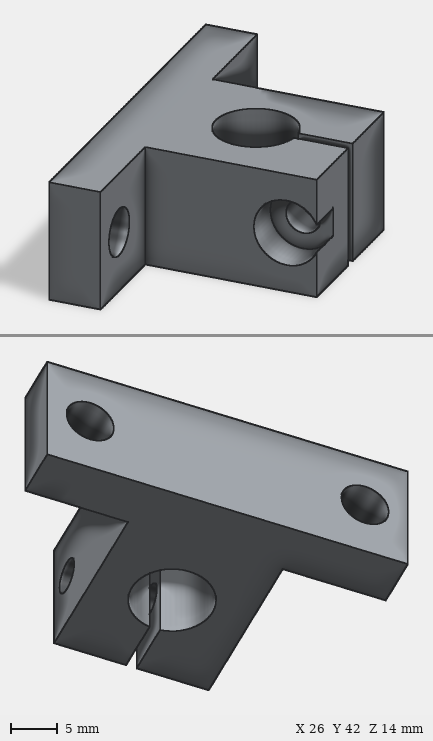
import cadquery as cq

base_length = 42.0
base_thickness = 6.0
height = 14.0
total_depth = 26.0
block_width = 18.0
bore_diameter = 9.4
bore_x = 15.0
slit_width = 1.2
mount_hole_diameter = 5.5
mount_hole_spacing = 32.0
clamp_hole_diameter = 4.0
clamp_x = 22.5
counterbore_diameter = 7.7
counterbore_depth = 4.4

mid_height = height / 2


def box(x_start, x_end, width):
    """Full-height box centred on Y = 0."""
    length = x_end - x_start
    return cq.Workplane("XY").box(length, width, height, centered=(False, True, False)).translate((x_start, 0, 0))


def clamp_cylinder(diameter, length):
    """Cylinder on the clamp screw axis, running inward from the -Y side of the block."""
    return (
        cq.Workplane("XZ", origin=(clamp_x, -block_width / 2, mid_height))
        .circle(diameter / 2)
        .extrude(-length)
    )


body = box(0, base_thickness, base_length).union(box(0, total_depth, block_width))

bore = cq.Workplane("XY").center(bore_x, 0).circle(bore_diameter / 2).extrude(height)
body = body.cut(bore).cut(box(bore_x, total_depth, slit_width))

mount_holes = (
    cq.Workplane("YZ")
    .pushPoints([(side * mount_hole_spacing / 2, mid_height) for side in (-1, 1)])
    .circle(mount_hole_diameter / 2)
    .extrude(base_thickness)
)
body = body.cut(mount_holes)

body = body.cut(clamp_cylinder(clamp_hole_diameter, block_width))
result = body.cut(clamp_cylinder(counterbore_diameter, counterbore_depth))